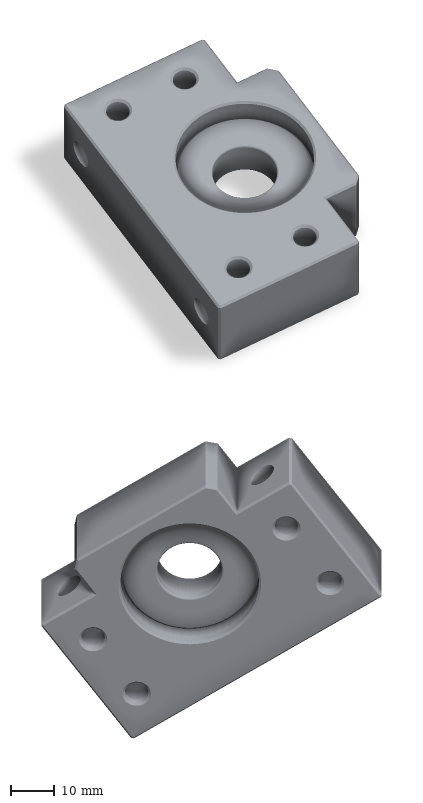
import math

import cadquery as cq

length = 70.0
width = 48.0
height = 20.0
shoulder_width = 38.0
edge_chamfer = 0.5

tab_length = 40.0
tab_corner_chamfer = 2.0

bore_y = 28.0
bore_radius = 7.5
bore_fillet = 0.5
seat_radius = 16.0
seat_depth = 5.5
seat_chamfer = 0.5
relief_size = 0.5

hole_spacing = 54.0
near_row_y = 10.0
vertical_hole_radius = 2.7
vertical_hole_chamfer = 0.55
cross_hole_radius = 3.3


def make_block():
    """T-shaped block with its front face on Y = 0 and its base on Z = 0."""
    base = cq.Workplane("XY").box(length, shoulder_width, height, centered=(True, False, False))
    base = base.edges("|Z").chamfer(edge_chamfer)
    tab = (
        cq.Workplane("XY", origin=(0, bore_y, 0))
        .box(tab_length, width - bore_y, height, centered=(True, False, False))
        .edges("|Z and >Y")
        .chamfer(tab_corner_chamfer)
    )
    return base.union(tab).faces("<Z or >Z").edges().chamfer(edge_chamfer)


def make_seat_cutter():
    """Upper end of the bearing bore: chamfered seat, V relief around its floor, rounded bore rim."""
    floor = height - seat_depth
    fillet_point = bore_fillet * (1 - math.sin(math.radians(45)))
    return (
        cq.Workplane("XZ")
        .moveTo(0, floor - bore_fillet)
        .lineTo(bore_radius, floor - bore_fillet)
        .threePointArc(
            (bore_radius + fillet_point, floor - fillet_point),
            (bore_radius + bore_fillet, floor),
        )
        .lineTo(seat_radius - relief_size, floor)
        .lineTo(seat_radius, floor - relief_size)
        .lineTo(seat_radius, height - seat_chamfer)
        .lineTo(seat_radius + seat_chamfer, height)
        .lineTo(0, height)
        .close()
        .revolve(360, (0, 0, 0), (0, 1, 0))
        .translate((0, bore_y, 0))
    )


def make_vertical_hole_cutter(x, y):
    """Through hole along Z, chamfered at both ends."""
    rim_radius = vertical_hole_radius + vertical_hole_chamfer
    return (
        cq.Workplane("XZ")
        .lineTo(rim_radius, 0)
        .lineTo(vertical_hole_radius, vertical_hole_chamfer)
        .lineTo(vertical_hole_radius, height - vertical_hole_chamfer)
        .lineTo(rim_radius, height)
        .lineTo(0, height)
        .close()
        .revolve(360, (0, 0, 0), (0, 1, 0))
        .translate((x, y, 0))
    )


def make_cross_hole_cutter(x):
    """Plain through hole along Y at mid-height."""
    hole = cq.Workplane("XZ", origin=(x, 0, height / 2)).circle(cross_hole_radius)
    return hole.extrude(-shoulder_width)


result = make_block()

bore = cq.Workplane("XY", origin=(0, bore_y, 0)).circle(bore_radius).extrude(height)
upper_seat = make_seat_cutter()
lower_seat = upper_seat.mirror("XY", (0, 0, height / 2))
result = result.cut(bore).cut(upper_seat).cut(lower_seat)

for hole_x in (-hole_spacing / 2, hole_spacing / 2):
    for hole_y in (near_row_y, bore_y):
        result = result.cut(make_vertical_hole_cutter(hole_x, hole_y))
    result = result.cut(make_cross_hole_cutter(hole_x))